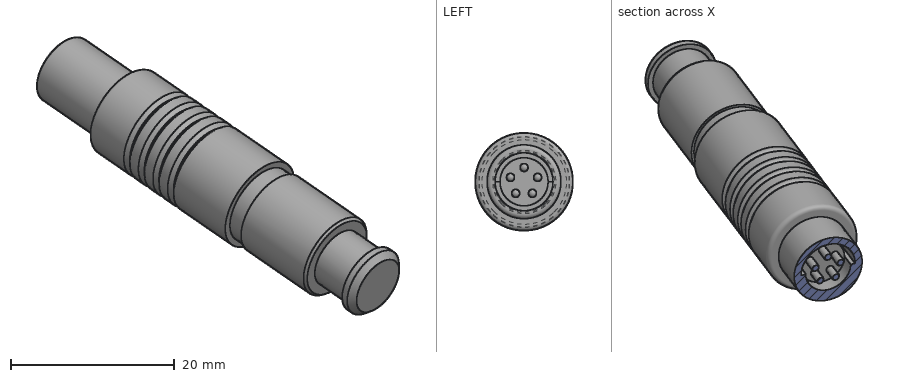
import cadquery as cq
import math

overall_length = 54.5
body_start = 10.7
body_end = 34.15
collar_start = 36.4
collar_end = 47.45
flange_start = 52.8

plug_radius = 4.5
body_radius = 6.0
neck_radius = 5.2
collar_radius = 5.5
stem_radius = 3.85
flange_radius = plug_radius

front_fillet = 0.55
collar_chamfer = 0.3
flange_chamfer = 0.8

groove_count = 4
first_groove_start = 16.75
groove_pitch = 2.5
groove_slope_length = 0.6
groove_round = 0.45

socket_radius = 3.55
socket_depth = body_start
key_inner_radius = 2.95
key_setback = 2.8

insert_radius = key_inner_radius
insert_setback = 7.65

pin_count = 5
pin_circle_radius = 1.75
pin_radius = 0.5
pin_tip_setback = 5.45


def cylinder_along_x(start, end, radius):
    return cq.Workplane("YZ", origin=(start, 0, 0)).circle(radius).extrude(end - start)


def make_housing():
    """Stepped outer body with its rounded and bevelled end edges."""
    plug = cylinder_along_x(0, body_start, plug_radius).faces("<X").edges().fillet(front_fillet)
    body = cylinder_along_x(body_start, body_end, body_radius).faces("<X").edges().fillet(front_fillet)
    neck = cylinder_along_x(body_end, collar_start, neck_radius)
    collar = cylinder_along_x(collar_start, collar_end, collar_radius)
    collar = collar.faces(">X").edges().chamfer(collar_chamfer)
    stem = cylinder_along_x(collar_end, flange_start, stem_radius)
    flange = cylinder_along_x(flange_start, overall_length, flange_radius)
    flange = flange.faces(">X").edges().chamfer(flange_chamfer)
    return plug.union(body).union(neck).union(collar).union(stem).union(flange)


def make_groove(start):
    """Ring of material removed by one grip groove."""
    floor_radius = body_radius - groove_round
    deepest = start + groove_slope_length
    end = deepest + groove_round
    arc_offset = groove_round * math.sin(math.pi / 4)
    arc_middle = (deepest + arc_offset, body_radius - arc_offset)
    profile = (
        cq.Workplane("XY")
        .moveTo(start, body_radius)
        .lineTo(deepest, floor_radius)
        .threePointArc(arc_middle, (end, body_radius))
        .close()
    )
    return profile.revolve(360, (0, 0, 0), (1, 0, 0))


def make_key():
    """Half ring lining the lower half of the socket."""
    ring = cylinder_along_x(key_setback, socket_depth, socket_radius)
    ring = ring.cut(cylinder_along_x(key_setback, socket_depth, key_inner_radius))
    lower_half = cq.Workplane("XY").box(
        socket_depth, 2 * socket_radius, socket_radius, centered=(False, True, False)
    )
    lower_half = lower_half.translate((0, 0, -socket_radius))
    return ring.intersect(lower_half)


def make_pin(angle):
    """Contact pin with a domed tip."""
    y = pin_circle_radius * math.cos(angle)
    z = pin_circle_radius * math.sin(angle)
    dome_center = pin_tip_setback + pin_radius
    shank = cylinder_along_x(dome_center, insert_setback, pin_radius)
    dome = cq.Workplane("XY").sphere(pin_radius).translate((dome_center, 0, 0))
    return shank.union(dome).translate((0, y, z))


result = make_housing()

for index in range(groove_count):
    result = result.cut(make_groove(first_groove_start + index * groove_pitch))

result = result.cut(cylinder_along_x(0, socket_depth, socket_radius))
result = result.union(make_key())
result = result.union(cylinder_along_x(insert_setback, socket_depth, insert_radius))

for index in range(pin_count):
    result = result.union(make_pin(math.pi / 2 + index * 2 * math.pi / pin_count))